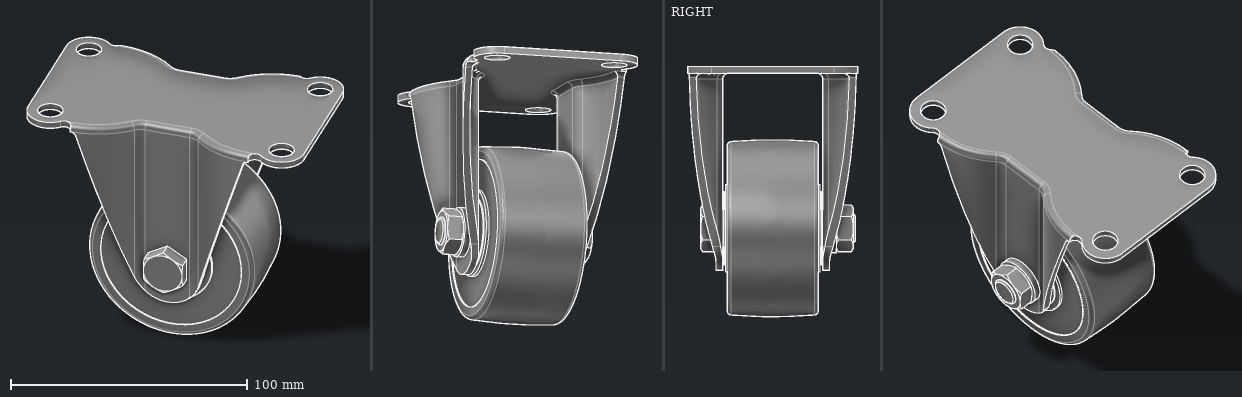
import cadquery as cq
import math


plate_length = 123.0
plate_width = 72.0
plate_top = 68.5
sheet = 3.0
corner_radius = 10.0
corner_x = plate_length / 2 - corner_radius
corner_y = plate_width / 2 - corner_radius
notch_radius = 3.0
mount_hole_diameter = 10.7
plate_bottom = plate_top - sheet

leg_inner_y = 21.2
leg_outer_y = leg_inner_y + sheet
flank_x = 39.4
flank_y = -2.1
flank_radius = 37.5
strip_blend = 6.4
bend_outer_radius = 3.0
bend_inner_radius = 2.5
leg_tip_radius = 14.8
leg_tip_z = -3.1
trim_top_x = 37.1
trim_top_z = 63.7

notch_x = 42.5
notch_y = corner_y + math.sqrt((corner_radius + notch_radius) ** 2 - (corner_x - notch_x) ** 2)

wheel_radius = 37.5
wheel_half_width = 19.3
tread_edge_radius = 36.7
tread_fillet = 1.8
side_recess_radius = 31.4
side_recess_depth = 0.5
hub_radius = 18.5
hub_half_width = 20.0
hub_step_radius = 15.5
hub_step_half_width = 20.5
boss_radius = 7.9

shank_radius = 6.0
hex_across_flats = 17.2
hex_chamfer_angle = 30.0
head_height = 6.4
washer_radius = 10.5
washer_thickness = 2.8
nut_height = 7.1
bolt_end_length = 1.0
bolt_end_chamfer = 0.7

margin = 6.2
block_bottom = leg_tip_z - leg_tip_radius - margin
block_end_x = flank_x + margin
hex_sides = 6
full_turn = 360


def along_y(radius, y_start, y_end):
    """Solid cylinder on the wheel axis between two Y positions."""
    return (cq.Workplane("XZ", origin=(0, y_start, 0))
            .circle(radius).extrude(-(y_end - y_start)))


def leg_curve(inset):
    """Half of the leg curve in plan, on the +X +Y side, moved inwards from the outer leg face.

    Returns the strip end, blend middle, blend end, flank middle and flank end.
    """
    blend = strip_blend + inset
    flank = flank_radius - inset
    blend_y = leg_outer_y + strip_blend
    reach = flank_radius + strip_blend
    blend_x = flank_x - math.sqrt(reach ** 2 - (blend_y - flank_y) ** 2)
    turn = math.acos((blend_y - flank_y) / reach)

    def on_blend(angle):
        return (blend_x + blend * math.sin(angle), blend_y - blend * math.cos(angle))

    def on_flank(angle):
        return (flank_x - flank * math.sin(angle), flank_y + flank * math.cos(angle))

    return [on_blend(0), on_blend(turn / 2), on_blend(turn), on_flank(turn / 2), on_flank(0)]


def mirrored_x(point):
    return (-point[0], point[1])


def folded_block(inset, top, edge_radius):
    """Block from the X axis out to the leg curve, its upper edge along that curve rounded."""
    strip_end, blend_mid, blend_end, flank_mid, flank_end = leg_curve(inset)
    block = (cq.Workplane("XY", origin=(0, 0, block_bottom))
             .moveTo(-block_end_x, 0)
             .lineTo(-block_end_x, flank_end[1])
             .lineTo(*mirrored_x(flank_end))
             .threePointArc(mirrored_x(flank_mid), mirrored_x(blend_end))
             .threePointArc(mirrored_x(blend_mid), mirrored_x(strip_end))
             .lineTo(*strip_end)
             .threePointArc(blend_mid, blend_end)
             .threePointArc(flank_mid, flank_end)
             .lineTo(block_end_x, flank_end[1])
             .lineTo(block_end_x, 0)
             .close()
             .extrude(top - block_bottom))
    return block.faces(">Z").edges("(not |Y) and (not <Y)").fillet(edge_radius)


def leg_trim():
    """Tapered leg outline in XZ: round tip, slanted edges and curved shoulders under the plate."""
    rise = trim_top_z - leg_tip_z
    distance = math.hypot(trim_top_x, rise)
    tangent_angle = math.acos(leg_tip_radius / distance) - math.atan2(rise, trim_top_x)

    def on_tip(angle):
        return (leg_tip_radius * math.cos(angle), leg_tip_z - leg_tip_radius * math.sin(angle))

    lowest_angle = math.pi / 2
    half = (cq.Workplane("XZ", origin=(0, plate_width, 0))
            .moveTo(*on_tip(lowest_angle))
            .threePointArc(on_tip((lowest_angle + tangent_angle) / 2), on_tip(tangent_angle))
            .lineTo(trim_top_x, trim_top_z)
            .tangentArcPoint((notch_x - notch_radius, plate_bottom), relative=False)
            .lineTo(notch_x, plate_bottom)
            .lineTo(notch_x, plate_top)
            .lineTo(0, plate_top)
            .close()
            .extrude(2 * plate_width))
    return half.union(half.mirror("YZ"))


def folded_leg():
    """Leg on the +Y side, its bend, and the plate between the notches."""
    outer = folded_block(0, plate_top, bend_outer_radius)
    cavity = folded_block(sheet, plate_bottom, bend_inner_radius)
    return outer.cut(cavity).intersect(leg_trim())


def plate_end():
    """Square-cornered end of the plate beyond the notch axis, +X +Y quarter."""
    return (cq.Workplane("XY", origin=(0, 0, plate_bottom))
            .rect(plate_length / 2 - notch_x, plate_width / 2, centered=False)
            .extrude(sheet)
            .translate((notch_x, 0, 0)))


def outer_limit():
    """Prism with the round corner tabs and the notches, over the +Y half and open towards the legs."""
    blend_angle = math.atan2(notch_y - corner_y, notch_x - corner_x)
    tab_mid_angle = blend_angle / 2
    tab_mid = (corner_x + corner_radius * math.cos(tab_mid_angle),
               corner_y + corner_radius * math.sin(tab_mid_angle))
    tab_end = (corner_x + corner_radius * math.cos(blend_angle),
               corner_y + corner_radius * math.sin(blend_angle))
    notch_mid = (notch_x, notch_y - notch_radius)
    notch_end = (notch_x - notch_radius, notch_y)
    quarter = (cq.Workplane("XY", origin=(0, 0, block_bottom))
               .moveTo(plate_length / 2, 0)
               .lineTo(plate_length / 2, corner_y)
               .threePointArc(tab_mid, tab_end)
               .threePointArc(notch_mid, notch_end)
               .lineTo(notch_end[0], plate_width)
               .lineTo(0, plate_width)
               .lineTo(0, 0)
               .close()
               .extrude(plate_top + margin - block_bottom))
    return quarter.union(quarter.mirror("YZ"))


def make_bracket():
    """Plate with two legs folded down from it, pierced for the mounting screws and the axle."""
    end = plate_end()
    half = folded_leg().union(end).union(end.mirror("YZ")).intersect(outer_limit())
    bracket = half.union(half.mirror("XZ")).clean()
    mount_holes = (cq.Workplane("XY", origin=(0, 0, plate_bottom))
                   .rect(2 * corner_x, 2 * corner_y, forConstruction=True)
                   .vertices()
                   .circle(mount_hole_diameter / 2)
                   .extrude(sheet))
    axle_hole = along_y(shank_radius, -leg_outer_y, leg_outer_y)
    washer_seat = along_y(washer_radius, leg_outer_y, leg_outer_y + washer_thickness)
    return bracket.cut(mount_holes).cut(axle_hole).cut(washer_seat)


def make_wheel():
    """Crowned wheel with recessed sides and a stepped hub that reaches both legs."""
    tread = (cq.Workplane("YZ")
             .moveTo(-wheel_half_width, 0)
             .lineTo(-wheel_half_width, tread_edge_radius)
             .threePointArc((0, wheel_radius), (wheel_half_width, tread_edge_radius))
             .lineTo(wheel_half_width, 0)
             .close()
             .revolve(full_turn, (0, 0, 0), (1, 0, 0))
             .faces("<Y or >Y").edges().fillet(tread_fillet))
    recess_floor = wheel_half_width - side_recess_depth
    recess = along_y(side_recess_radius, recess_floor, wheel_half_width)
    tread = tread.cut(recess).cut(recess.mirror("XZ"))
    hub = along_y(hub_radius, -hub_half_width, hub_half_width)
    hub_step = along_y(hub_step_radius, -hub_step_half_width, hub_step_half_width)
    boss = along_y(boss_radius, -leg_inner_y, leg_inner_y)
    bore = along_y(shank_radius, -leg_inner_y, leg_inner_y)
    return tread.union(hub).union(hub_step).union(boss).cut(bore)


def hexagon(y_start, y_end, chamfer_start, chamfer_end):
    """Hexagon on the wheel axis, corners up and down, with conically chamfered ends."""
    corner = hex_across_flats / math.sqrt(3)
    flat = hex_across_flats / 2
    depth = (corner - flat) * math.tan(math.radians(hex_chamfer_angle))
    prism = (cq.Workplane("XZ", origin=(0, y_start, 0))
             .polygon(hex_sides, 2 * corner)
             .extrude(-(y_end - y_start))
             .rotate((0, 0, 0), (0, 1, 0), full_turn / hex_sides / 2))
    envelope = cq.Workplane("YZ").moveTo(y_start, 0)
    if chamfer_start:
        envelope = envelope.lineTo(y_start, flat).lineTo(y_start + depth, corner)
    else:
        envelope = envelope.lineTo(y_start, corner)
    if chamfer_end:
        envelope = envelope.lineTo(y_end - depth, corner).lineTo(y_end, flat)
    else:
        envelope = envelope.lineTo(y_end, corner)
    envelope = envelope.lineTo(y_end, 0).close().revolve(full_turn, (0, 0, 0), (1, 0, 0))
    return prism.intersect(envelope)


def make_axle():
    """Bolt with its head on the -Y side, and washer and nut on the +Y side."""
    nut_start = leg_outer_y + washer_thickness
    nut_end = nut_start + nut_height
    shank = (along_y(shank_radius, -leg_outer_y, nut_end + bolt_end_length)
             .faces(">Y").chamfer(bolt_end_chamfer))
    head = hexagon(-leg_outer_y - head_height, -leg_outer_y, True, False)
    washer = along_y(washer_radius, leg_outer_y, nut_start)
    nut = hexagon(nut_start, nut_end, True, True)
    return shank.union(head).union(washer).union(nut)


bracket = make_bracket()
wheel = make_wheel()
axle = make_axle()

result = cq.Compound.makeCompound([bracket.val(), wheel.val(), axle.val()])